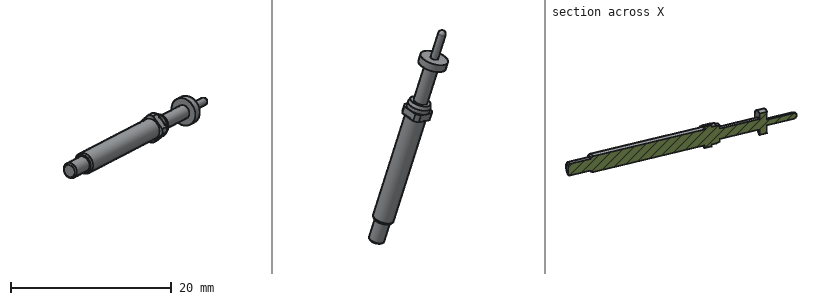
import cadquery as cq
import math


PLUNGER_DIAMETER = 2.0
BARREL_DIAMETER = 2.7
STEP_DIAMETER = 3.0
COLLAR_CORNER_DIAMETER = 3.6
SHAFT_DIAMETER = 1.8
DISC_DIAMETER = 3.6
PIN_DIAMETER = 1.0

COLLAR_ACROSS_FLATS = 3.0

PLUNGER_LENGTH = 3.0
BARREL_LENGTH = 15.05
COLLAR_LENGTH = 1.0
STEP_LENGTH = 1.05
SHAFT_LENGTH = 5.25
DISC_LENGTH = 1.0
PIN_LENGTH = 3.95

PLUNGER_CHAMFER = 0.2
BARREL_TAPER_LENGTH = 0.27
BARREL_TAPER_ANGLE = 30.0
STEP_TAPER_LENGTH = 0.5
STEP_TAPER_ANGLE = 20.0

BARREL_END_Y = -BARREL_LENGTH
PLUNGER_END_Y = BARREL_END_Y - PLUNGER_LENGTH
STEP_START_Y = COLLAR_LENGTH
SHAFT_START_Y = STEP_START_Y + STEP_LENGTH
DISC_START_Y = SHAFT_START_Y + SHAFT_LENGTH
PIN_START_Y = DISC_START_Y + DISC_LENGTH


def cylinder(diameter, start_y, length):
    """Cylinder on the Y axis, running from start_y toward +Y."""
    plane = cq.Workplane("XZ", origin=(0, start_y, 0))
    return plane.circle(diameter / 2).extrude(-length)


def turned_section(points):
    """Solid of revolution about the Y axis from (radius, y) points."""
    return cq.Workplane("XY").polyline(points).close().revolve(360, (0, 0, 0), (0, 1, 0))


def taper_inset(length, angle):
    """Radial depth of a taper whose side leans by angle (degrees) from the axis."""
    return length * math.tan(math.radians(angle))


def make_plunger():
    plunger = cylinder(PLUNGER_DIAMETER, PLUNGER_END_Y, PLUNGER_LENGTH)
    return plunger.faces("<Y").chamfer(PLUNGER_CHAMFER)


def make_barrel():
    """Long barrel whose free end tapers in slightly."""
    radius = BARREL_DIAMETER / 2
    end_radius = radius - taper_inset(BARREL_TAPER_LENGTH, BARREL_TAPER_ANGLE)
    return turned_section([
        (0, BARREL_END_Y),
        (end_radius, BARREL_END_Y),
        (radius, BARREL_END_Y + BARREL_TAPER_LENGTH),
        (radius, 0),
        (0, 0),
    ])


def make_collar():
    rounded = cylinder(COLLAR_CORNER_DIAMETER, 0, COLLAR_LENGTH)
    square = (
        cq.Workplane("XZ")
        .transformed(rotate=(0, 0, 45))
        .rect(COLLAR_ACROSS_FLATS, COLLAR_ACROSS_FLATS)
        .extrude(-COLLAR_LENGTH)
    )
    return rounded.intersect(square)


def make_step():
    """Round step between collar and shaft, tapering in toward the shaft."""
    radius = STEP_DIAMETER / 2
    end_radius = radius - taper_inset(STEP_TAPER_LENGTH, STEP_TAPER_ANGLE)
    return turned_section([
        (0, STEP_START_Y),
        (radius, STEP_START_Y),
        (radius, SHAFT_START_Y - STEP_TAPER_LENGTH),
        (end_radius, SHAFT_START_Y),
        (0, SHAFT_START_Y),
    ])


def make_pin():
    """Contact pin with a hemispherical tip."""
    radius = PIN_DIAMETER / 2
    straight_length = PIN_LENGTH - radius
    shank = cylinder(PIN_DIAMETER, PIN_START_Y, straight_length)
    tip = cq.Workplane("XY", origin=(0, PIN_START_Y + straight_length, 0)).sphere(radius)
    return shank.union(tip)


result = (
    make_plunger()
    .union(make_barrel())
    .union(make_collar())
    .union(make_step())
    .union(cylinder(SHAFT_DIAMETER, SHAFT_START_Y, SHAFT_LENGTH))
    .union(cylinder(DISC_DIAMETER, DISC_START_Y, DISC_LENGTH))
    .union(make_pin())
)